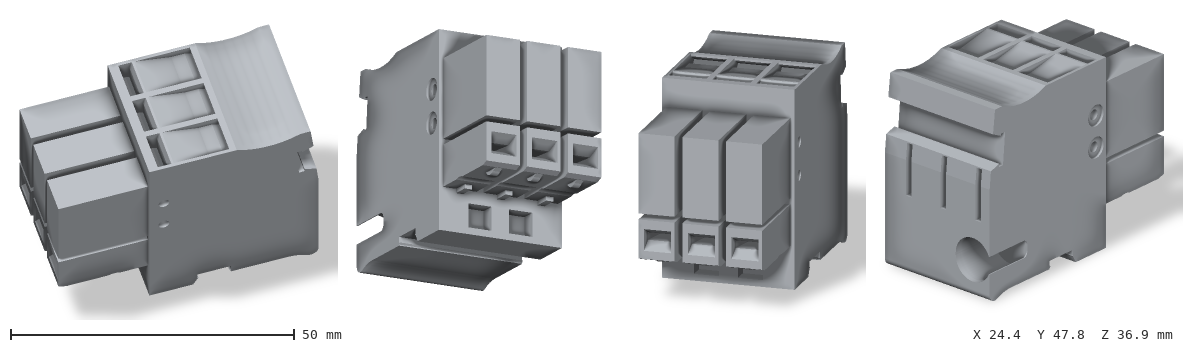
import cadquery as cq
import math


POLES = 3
POLE_PITCH = 8.1
WIDTH = 24.45
LENGTH = 47.8
HEIGHT = 36.9
BODY_FRONT = 16.55
POLE_CENTRES = [(i - (POLES - 1) / 2) * POLE_PITCH for i in range(POLES)]

HEEL_RADIUS = 1.4
HEEL_Y = LENGTH - HEEL_RADIUS
REAR_SOLE_Z = 1.05
SOLE_BLEND_Y = 42.0
NOTCH_BACK = 31.65
NOTCH_FRONT = 25.35
NOTCH_TOP = 2.65
TOOTH_SIZE = 0.3
TOOTH_Z = 1.55
FOOT_BACK = 24.65

BACK_SLOPE_Z = 21.9
LIP_Y = 47.45
LIP_Z = 25.35
LATCH_FLOOR_Z = 25.45
LATCH_STEP_Y = 45.25
LATCH_STEP_Z = 26.05
LATCH_LOW_Y = 44.2
LATCH_HIGH_Y = 43.65
LATCH_CEILING_Z = 31.7
HOOK_Y = 44.75
HOOK_Z = 31.3
NOSE_Y = 46.9
NOSE_Z = 32.3
TOP_BACK = 46.35
DIP_BACK = 44.45
DIP_FRONT = 32.7
DIP_DEPTH = 1.25

HOLE_Y = 19.25
HOLE_HEIGHTS = (20.3, 26.5)
HOLE_DIAMETER = 2.0
COUNTERBORE_DIAMETER = 4.15
COUNTERBORE_DEPTH = 0.5

GROOVE_Z = 7.2
GROOVE_LENGTH = 10.15
GROOVE_RADIUS = 4.0
GROOVE_FLAT = 0.45
GROOVE_OPENING = 3.4
GROOVE_CORNER_RADIUS = 1.1
GROOVE_LIP = 0.2

TOP_OPENING_WIDTH = 7.0
LEVER_FRONT = 21.25
LEVER_KNEE = 28.05
LEVER_BREAK = 30.55
LEVER_OPENING_BACK = 31.5
LEVER_DEPTH = 1.4
LEVER_TAIL_Y = 32.7
LEVER_TAIL_DEPTH = 2.2
LEVER_CAVITY_BACK = 33.5
LEVER_CAVITY_DEPTH = 1.5
LEDGE_THICKNESS = 0.4
SLOT_BACK = 20.8
SLOT_FRONT = 18.3
SLOT_WALL_Y = 20.35
SLOT_WALL_DEPTH = 1.4
SLOT_BEND_Y = 19.65
SLOT_BEND_DEPTH = 4.0
SLOT_FRONT_DEPTH = 3.8
SLOT_BACK_DEPTH = 4.3

BLOCK_WIDTH = 6.65
UPPER_BLOCK_BOTTOM = 16.8
UPPER_BLOCK_TOP = 31.6
WIRE_BLOCK_BOTTOM = 8.0
WIRE_BLOCK_TOP = 15.7
CHIN_HEIGHT = 0.5
CHIN_LENGTH = 1.4
RELIEF_FRONT = 9.2
RELIEF_BACK = 11.5
RELIEF_DEPTH = 0.2
RIB_WIDTH = 1.4
RIB_HEIGHT = 0.8
REAR_RIB_FRONT = 13.25
BUMP_BACK = 5.2
BUMP_CREST = 3.9
BUMP_SHOULDER = 2.55
BUMP_SHOULDER_DROP = 0.4
BUMP_FRONT = 1.6

FUNNEL_WIDTH = 5.0
FUNNEL_HEIGHT = 4.0
FUNNEL_Z = 12.0
FUNNEL_OFFSET = 0.17
FUNNEL_DEPTH = 2.5
THROAT_HEIGHT = 1.4
THROAT_END_Y = 16.0
THROAT_END_OFFSET = 0.72

RECESS_WIDTH = 4.6
RECESS_HEIGHT = 4.4
RECESS_BOTTOM = 1.25
RECESS_DEPTH = 3.0

CONTACT_WIDTH = 1.25
CONTACT_OFFSET = -1.43
CONTACT_TOP = 25.1
CONTACT_BOTTOM = 15.0
CONTACT_DEPTH = 5.0


def box(x, y, z):
    """Box from (low, high) pairs."""
    size = [high - low for low, high in (x, y, z)]
    return cq.Workplane("XY").box(*size, centered=False).translate((x[0], y[0], z[0]))


def span(centre, width):
    return (centre - width / 2, centre + width / 2)


def extrude_across(profile, centre, width):
    """Extrude a closed YZ profile along X, centred on the given X."""
    return profile.extrude(width / 2, both=True).translate((centre, 0, 0))


def make_body():
    """Body outline in the YZ plane, extruded over the full width."""
    rise = HEEL_RADIUS - REAR_SOLE_Z
    run = HEEL_Y - SOLE_BLEND_Y
    blend_radius = (run**2 + rise**2 - HEEL_RADIUS**2) / (2 * (HEEL_RADIUS - rise))
    blend_angle = math.asin(run / (blend_radius + HEEL_RADIUS))

    def on_heel(angle):
        return (HEEL_Y - HEEL_RADIUS * math.sin(angle), HEEL_RADIUS * (1 - math.cos(angle)))

    def on_blend(angle):
        drop = blend_radius * (1 - math.cos(angle))
        return (SOLE_BLEND_Y + blend_radius * math.sin(angle), REAR_SOLE_Z - drop)

    profile = (
        cq.Workplane("YZ")
        .moveTo(BODY_FRONT, 0)
        .lineTo(BODY_FRONT, HEIGHT)
        .lineTo(DIP_FRONT, HEIGHT)
        .threePointArc(((DIP_FRONT + DIP_BACK) / 2, HEIGHT - DIP_DEPTH), (DIP_BACK, HEIGHT))
        .lineTo(TOP_BACK, HEIGHT)
        .lineTo(NOSE_Y, NOSE_Z)
        .lineTo(HOOK_Y, HOOK_Z)
        .lineTo(HOOK_Y, LATCH_CEILING_Z)
        .lineTo(LATCH_HIGH_Y, LATCH_CEILING_Z)
        .lineTo(LATCH_LOW_Y, LATCH_FLOOR_Z)
        .lineTo(LATCH_STEP_Y, LATCH_FLOOR_Z)
        .lineTo(LATCH_STEP_Y, LATCH_STEP_Z)
        .lineTo(LIP_Y, LIP_Z)
        .lineTo(LENGTH, BACK_SLOPE_Z)
        .lineTo(LENGTH, HEEL_RADIUS)
        .threePointArc(on_heel(0), on_heel(blend_angle))
        .threePointArc(on_blend(blend_angle / 2), (SOLE_BLEND_Y, REAR_SOLE_Z))
        .lineTo(NOTCH_BACK, REAR_SOLE_Z)
        .lineTo(NOTCH_BACK, TOOTH_Z - TOOTH_SIZE)
        .lineTo(NOTCH_BACK - TOOTH_SIZE, TOOTH_Z)
        .lineTo(NOTCH_BACK, TOOTH_Z)
        .lineTo(NOTCH_BACK, NOTCH_TOP)
        .lineTo(NOTCH_FRONT, NOTCH_TOP)
        .lineTo(NOTCH_FRONT, TOOTH_Z)
        .lineTo(NOTCH_FRONT + TOOTH_SIZE, TOOTH_Z)
        .lineTo(NOTCH_FRONT, TOOTH_Z - TOOTH_SIZE)
        .lineTo(FOOT_BACK, 0)
        .close()
    )
    return extrude_across(profile, 0, WIDTH)


def make_side_hole(z):
    """Through hole along X with a shallow counterbore on the -X side."""
    start = cq.Workplane("YZ", origin=(-WIDTH / 2, HOLE_Y, z))
    hole = start.circle(HOLE_DIAMETER / 2).extrude(WIDTH)
    return hole.union(start.circle(COUNTERBORE_DIAMETER / 2).extrude(COUNTERBORE_DEPTH))


def make_coupling_groove():
    """Undercut groove, open to the back, entered from -X through a narrower slit in a thin lip."""
    side_x = -WIDTH / 2
    half_throat = (GROOVE_OPENING - GROOVE_FLAT) / 2
    axis_depth = GROOVE_LIP + math.sqrt(GROOVE_RADIUS**2 - half_throat**2)
    groove = (
        cq.Workplane("XZ", origin=(side_x + axis_depth, LENGTH, GROOVE_Z))
        .slot2D(2 * GROOVE_RADIUS + GROOVE_FLAT, 2 * GROOVE_RADIUS, 90)
        .extrude(GROOVE_LENGTH)
    )
    inside_lip = box((side_x + GROOVE_LIP, WIDTH / 2), (0, LENGTH), (0, HEIGHT))
    slit = box(
        (side_x, side_x + GROOVE_LIP),
        (LENGTH - GROOVE_LENGTH, LENGTH),
        span(GROOVE_Z, GROOVE_OPENING),
    )
    rounded_slit = slit.edges("|X and <Y").fillet(GROOVE_CORNER_RADIUS)
    return groove.intersect(inside_lip).union(rounded_slit)


def make_lever_opening(x):
    """Opening around a rocking lever: a ramp, a flat, then a tail running under the ledge."""
    profile = (
        cq.Workplane("YZ")
        .moveTo(LEVER_FRONT, HEIGHT)
        .lineTo(LEVER_KNEE, HEIGHT - LEVER_DEPTH)
        .lineTo(LEVER_BREAK, HEIGHT - LEVER_DEPTH)
        .lineTo(LEVER_TAIL_Y, HEIGHT - LEVER_TAIL_DEPTH)
        .lineTo(LEVER_CAVITY_BACK, HEIGHT - LEVER_CAVITY_DEPTH)
        .lineTo(LEVER_OPENING_BACK, HEIGHT - LEDGE_THICKNESS)
        .lineTo(LEVER_OPENING_BACK, HEIGHT)
        .close()
    )
    return extrude_across(profile, x, TOP_OPENING_WIDTH)


def make_top_slot(x):
    """Narrow slot in front of the lever with a sloped back wall and a bent floor."""
    profile = (
        cq.Workplane("YZ")
        .moveTo(SLOT_FRONT, HEIGHT)
        .lineTo(SLOT_FRONT, HEIGHT - SLOT_FRONT_DEPTH)
        .lineTo(SLOT_BEND_Y, HEIGHT - SLOT_BEND_DEPTH)
        .lineTo(SLOT_WALL_Y, HEIGHT - SLOT_BACK_DEPTH)
        .lineTo(SLOT_WALL_Y, HEIGHT - SLOT_WALL_DEPTH)
        .lineTo(SLOT_BACK, HEIGHT)
        .close()
    )
    return extrude_across(profile, x, TOP_OPENING_WIDTH)


def make_contact_slot(x):
    """Narrow contact slot in the back, just below the latch recess."""
    return box(
        span(x + CONTACT_OFFSET, CONTACT_WIDTH),
        (LENGTH - CONTACT_DEPTH, LENGTH),
        (CONTACT_BOTTOM, CONTACT_TOP),
    )


def make_front_recess(x):
    """Square recess low on the front face of the body."""
    return box(
        span(x, RECESS_WIDTH),
        (BODY_FRONT, BODY_FRONT + RECESS_DEPTH),
        (RECESS_BOTTOM, RECESS_BOTTOM + RECESS_HEIGHT),
    )


def make_upper_block(x):
    return box(span(x, BLOCK_WIDTH), (0, BODY_FRONT), (UPPER_BLOCK_BOTTOM, UPPER_BLOCK_TOP))


def make_wire_block(x):
    """Lower block with a bevelled chin, a shallow underside relief and ribs beneath."""
    bottom = WIRE_BLOCK_BOTTOM
    relief_centre = (RELIEF_FRONT + RELIEF_BACK) / 2
    block_profile = (
        cq.Workplane("YZ")
        .moveTo(0, bottom + CHIN_HEIGHT)
        .lineTo(CHIN_LENGTH, bottom)
        .lineTo(RELIEF_FRONT, bottom)
        .threePointArc((relief_centre, bottom + RELIEF_DEPTH), (RELIEF_BACK, bottom))
        .lineTo(BODY_FRONT, bottom)
        .lineTo(BODY_FRONT, WIRE_BLOCK_TOP)
        .lineTo(0, WIRE_BLOCK_TOP)
        .close()
    )
    bump_profile = (
        cq.Workplane("YZ")
        .moveTo(BUMP_BACK, bottom)
        .threePointArc((BUMP_CREST, bottom - RIB_HEIGHT), (BUMP_SHOULDER, bottom - BUMP_SHOULDER_DROP))
        .lineTo(BUMP_FRONT, bottom)
        .close()
    )
    block = extrude_across(block_profile, x, BLOCK_WIDTH)
    bump = extrude_across(bump_profile, x, RIB_WIDTH)
    rear_rib = box(span(x, RIB_WIDTH), (REAR_RIB_FRONT, BODY_FRONT), (bottom - RIB_HEIGHT, bottom))
    return block.union(bump).union(rear_rib)


def make_wire_funnel(x):
    """Tapered wire entry leading to a flat throat that narrows to a line.

    The +X wall is one plane from mouth to tip; the -X wall is straight along the funnel.
    """
    mouth_centre = x + FUNNEL_OFFSET
    left = mouth_centre - FUNNEL_WIDTH / 2
    right = mouth_centre + FUNNEL_WIDTH / 2
    tip = x + THROAT_END_OFFSET
    throat_right = right + (tip - right) * FUNNEL_DEPTH / THROAT_END_Y
    funnel = (
        cq.Workplane("XZ", origin=(mouth_centre, 0, FUNNEL_Z))
        .rect(FUNNEL_WIDTH, FUNNEL_HEIGHT)
        .workplane(offset=-FUNNEL_DEPTH)
        .center((left + throat_right) / 2 - mouth_centre, 0)
        .rect(throat_right - left, THROAT_HEIGHT)
        .loft(ruled=True)
    )
    throat = (
        cq.Workplane("XY", origin=(0, 0, FUNNEL_Z))
        .moveTo(left, FUNNEL_DEPTH)
        .lineTo(tip, THROAT_END_Y)
        .lineTo(throat_right, FUNNEL_DEPTH)
        .close()
        .extrude(THROAT_HEIGHT / 2, both=True)
    )
    return funnel.union(throat)


result = make_body()
for hole_z in HOLE_HEIGHTS:
    result = result.cut(make_side_hole(hole_z))
result = result.cut(make_coupling_groove())

for x in POLE_CENTRES:
    result = result.cut(make_lever_opening(x))
    result = result.cut(make_top_slot(x))
    result = result.cut(make_contact_slot(x))
    result = result.union(make_upper_block(x))
    result = result.union(make_wire_block(x))
    result = result.cut(make_wire_funnel(x))

for left, right in zip(POLE_CENTRES, POLE_CENTRES[1:]):
    result = result.cut(make_front_recess((left + right) / 2))